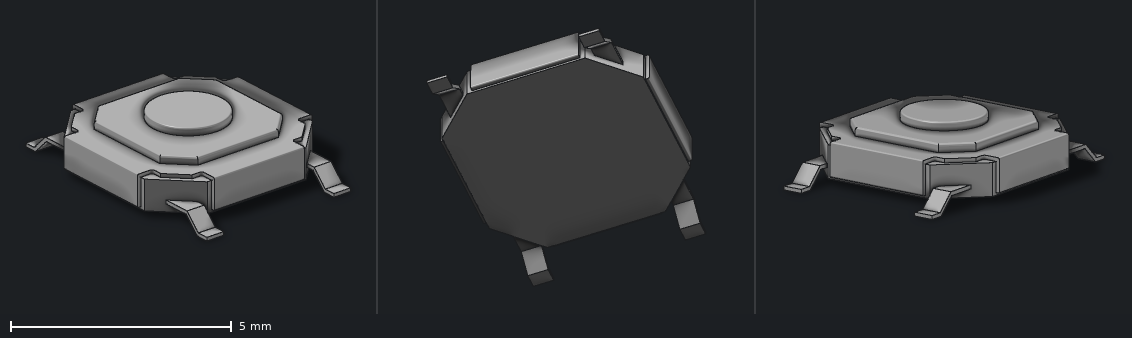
import cadquery as cq
import math

length = 6.5
cover_width = 5.1
height = 1.5

base_bottom = 0.2
skirt_bottom = 0.265
base_top = 1.0
cover_top = 1.1
plate_top = 1.3

cover_sheet = 0.1
terminal_sheet = 0.1

base_width = cover_width - 2 * cover_sheet
base_corner_cut = 1.015

skirt_width = 2.625
relief_inner = 4.22
sheet_corner_cut = 0.51
relief_radius = 0.08
skirt_round = 0.045

plate_width = 3.575
plate_corner_cut = 0.61
plate_round = 0.065
button_diameter = 2.0
button_round = 0.05

terminal_width = 0.5
terminal_spacing = 3.705
shelf_top = 0.5
shelf_end = 2.54
slope_angle = 45.0


def octagon_prism(width, corner_cut, bottom, top):
    """Square prism with its four upright corners cut off at 45 degrees."""
    return (
        cq.Workplane("XY", origin=(0, 0, bottom))
        .rect(width, width)
        .extrude(top - bottom)
        .edges("|Z")
        .chamfer(corner_cut)
    )


def make_base():
    return octagon_prism(base_width, base_corner_cut, base_bottom, base_top)


def make_skirt_strip(size_x, size_y, outer_faces):
    """Strip across the cover whose two outer faces are rounded above and below."""
    strip = (
        cq.Workplane("XY", origin=(0, 0, skirt_bottom))
        .rect(size_x, size_y)
        .extrude(cover_top - skirt_bottom)
    )
    strip = strip.faces(outer_faces).edges(">Z").fillet(skirt_round)
    return strip.faces(outer_faces).edges("<Z").fillet(skirt_round)


def make_cover():
    cover = octagon_prism(relief_inner, sheet_corner_cut, skirt_bottom, cover_top)
    cover = cover.union(make_skirt_strip(cover_width, skirt_width, "<X or >X"))
    cover = cover.union(make_skirt_strip(skirt_width, cover_width, "<Y or >Y"))

    for sign_x in (-1, 1):
        for sign_y in (-1, 1):
            for size_x, size_y in ((relief_inner, skirt_width), (skirt_width, relief_inner)):
                x = sign_x * size_x / 2
                y = sign_y * size_y / 2
                around_corner = cq.selectors.BoxSelector(
                    (x - relief_radius, y - relief_radius, skirt_bottom),
                    (x + relief_radius, y + relief_radius, cover_top),
                )
                cover = cover.edges(around_corner).edges("|Z").fillet(relief_radius)

    cover = cover.cut(make_base())

    plate = octagon_prism(plate_width, plate_corner_cut, cover_top, plate_top)
    plate = plate.faces(">Z").edges().fillet(plate_round)
    button = (
        cq.Workplane("XY", origin=(0, 0, plate_top))
        .circle(button_diameter / 2)
        .extrude(height - plate_top)
        .faces(">Z")
        .edges()
        .fillet(button_round)
    )
    return cover.union(plate).union(button)


def make_terminal(side_x, side_y):
    """Bent strip that ends flush against the slanted corner face of the base."""
    tip = length / 2
    bend_shift = terminal_sheet * math.tan(math.radians(slope_angle / 2))
    slope_end = shelf_end + (shelf_top - terminal_sheet) / math.tan(math.radians(slope_angle))
    profile = [
        (0, shelf_top),
        (shelf_end, shelf_top),
        (slope_end, terminal_sheet),
        (tip, terminal_sheet),
        (tip, 0),
        (slope_end - bend_shift, 0),
        (shelf_end - bend_shift, shelf_top - terminal_sheet),
        (0, shelf_top - terminal_sheet),
    ]
    strip = (
        cq.Workplane("XZ", origin=(0, side_y * terminal_spacing / 2, 0))
        .polyline([(side_x * x, z) for x, z in profile])
        .close()
        .extrude(terminal_width / 2, both=True)
    )
    return strip.cut(make_base())


base = make_base()
cover = make_cover()
terminals = [make_terminal(side_x, side_y) for side_x in (-1, 1) for side_y in (-1, 1)]

result = cq.Compound.makeCompound(
    [base.val(), cover.val(), *[terminal.val() for terminal in terminals]]
)